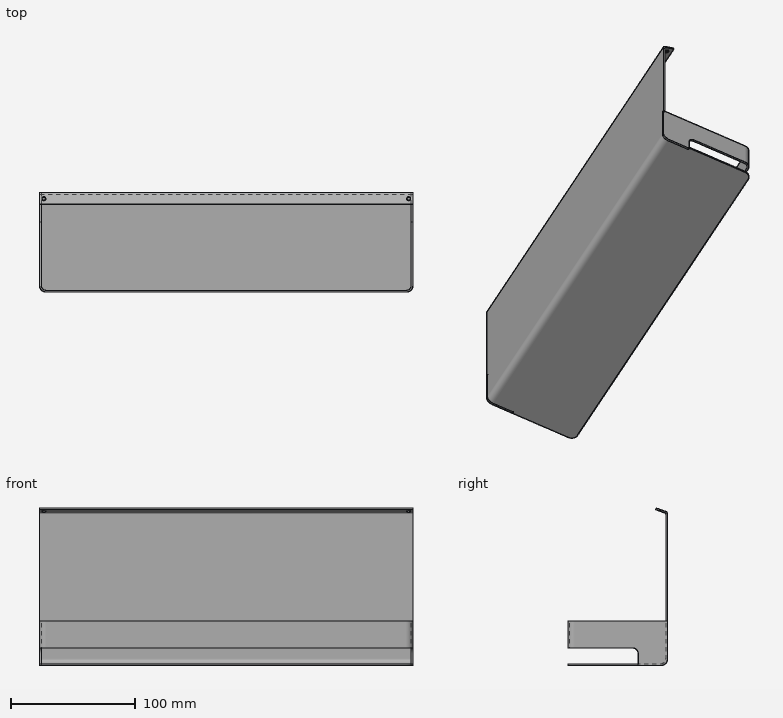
import cadquery as cq
import math

WIDTH = 300.0
DEPTH = 80.0
HEIGHT = 126.5
SHEET = 1.5

BEND_INNER = 4.0
BEND_OUTER = BEND_INNER + SHEET
LIP_BEND_INNER = 1.0
LIP_BEND_OUTER = LIP_BEND_INNER + SHEET

LIP_ANGLE = math.radians(20)
LIP_REACH = 9.5
HOLE_DIAMETER = 3.0
HOLE_FROM_END = 3.5
HOLE_FROM_BACK = 4.8

BAND_TOP = 36.0
BAND_BOTTOM = 14.0
LEG_DEPTH = 23.7
LEG_FILLET = 4.5


def side_profile():
    """Sketch plane at the left end; its local axes are global Y and Z."""
    return cq.Workplane("YZ", origin=(-WIDTH / 2, 0, 0))


def make_bracket():
    """Floor, back and lip bent from one sheet, relieved at the ends for the band."""
    lip_edge_y = SHEET * math.sin(LIP_ANGLE)
    lip_edge_z = SHEET * math.cos(LIP_ANGLE)
    lip_run = LIP_REACH - lip_edge_y
    outer_corner_z = HEIGHT - lip_run * math.tan(LIP_ANGLE)
    inner_corner_z = HEIGHT - lip_edge_z - (LIP_REACH - SHEET) * math.tan(LIP_ANGLE)

    sheet = (
        side_profile()
        .polyline([
            (-DEPTH, 0),
            (0, 0),
            (0, outer_corner_z),
            (-lip_run, HEIGHT),
            (-LIP_REACH, HEIGHT - lip_edge_z),
            (-SHEET, inner_corner_z),
            (-SHEET, SHEET),
            (-DEPTH, SHEET),
        ])
        .close()
        .extrude(WIDTH)
    )
    bends = [
        ((0, 0, 0), BEND_OUTER),
        ((0, -SHEET, SHEET), BEND_INNER),
        ((0, 0, outer_corner_z), LIP_BEND_OUTER),
        ((0, -SHEET, inner_corner_z), LIP_BEND_INNER),
    ]
    for corner, radius in bends:
        sheet = sheet.edges("|X").edges(cq.selectors.NearestToPointSelector(corner)).fillet(radius)

    sheet = sheet.faces("<Y").edges("|Z").fillet(BEND_OUTER)

    for left in (-WIDTH / 2, WIDTH / 2 - SHEET):
        relief = cq.Workplane("XY").box(SHEET, LEG_DEPTH, BAND_TOP, centered=False)
        sheet = sheet.cut(relief.translate((left, -LEG_DEPTH, 0)))

    hole_z = outer_corner_z + HOLE_FROM_BACK * math.tan(LIP_ANGLE)
    lip_normal = cq.Vector(0, math.sin(LIP_ANGLE), math.cos(LIP_ANGLE))
    for side in (-1, 1):
        hole_x = side * (WIDTH / 2 - HOLE_FROM_END)
        center = cq.Vector(hole_x, -HOLE_FROM_BACK, hole_z)
        start = center - lip_normal * (2 * SHEET)
        sheet = sheet.cut(cq.Workplane(
            cq.Solid.makeCylinder(HOLE_DIAMETER / 2, 4 * SHEET, start, lip_normal)))
    return sheet


def make_band():
    """U-shaped strip: a raised front and two sides with legs at the rear."""
    strip = (
        cq.Workplane("XY")
        .rect(WIDTH, 2 * DEPTH)
        .extrude(BAND_TOP)
        .edges("|Z").fillet(BEND_OUTER)
    )
    core = (
        cq.Workplane("XY")
        .rect(WIDTH - 2 * SHEET, 2 * (DEPTH - SHEET))
        .extrude(BAND_TOP)
        .edges("|Z").fillet(BEND_INNER)
    )
    outline = (
        side_profile()
        .polyline([
            (0, 0),
            (0, BAND_TOP),
            (-DEPTH, BAND_TOP),
            (-DEPTH, BAND_BOTTOM),
            (-LEG_DEPTH, BAND_BOTTOM),
            (-LEG_DEPTH, 0),
        ])
        .close()
        .extrude(WIDTH)
    )
    for corner, radius in [
        ((0, 0, 0), BEND_OUTER),
        ((0, -LEG_DEPTH, BAND_BOTTOM), LEG_FILLET),
    ]:
        outline = outline.edges("|X").edges(cq.selectors.NearestToPointSelector(corner)).fillet(radius)
    return strip.cut(core).intersect(outline)


bracket = make_bracket()
band = make_band()
result = cq.Compound.makeCompound([bracket.solids().val(), band.solids().val()])